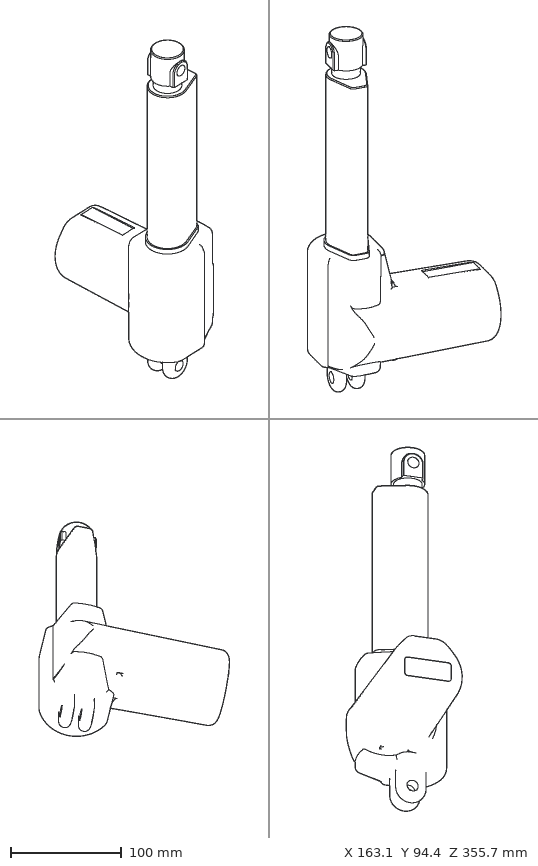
import cadquery as cq
import math


overall_height = 355.66
lug_radius = 14.1
top_z = overall_height - lug_radius
head_height = 30.5
head_bottom_z = top_z - head_height
rod_exposed_length = 9.5
tube_top_z = head_bottom_z - rod_exposed_length
housing_top_z = 129.9
housing_bottom_z = 18.0
collar_height = 5.0

rod_radius = 13.0
head_radius = 15.3
head_chamfer = 1.0
pin_hole_diameter = 10.6
head_pin_depth = 16.2
head_pin_z = top_z - head_pin_depth
boss_radius = 9.7
boss_half_span = 16.45
boss_edge_fillet = 1.0

tube_radius = 18.4
tube_back_y = 32.0
tube_back_half_width = 7.8
tube_corner_radius = 4.0
tube_top_chamfer = 1.0
collar_lip = 1.6

housing_nose_radius = 35.2
housing_half_width = 31.6
shoulder_front_y = 15.5
shoulder_half_width = 26.0
shoulder_back_y = 19.5
housing_back_half_width = 14.0
housing_back_y = 47.1
housing_back_edge_y = 45.9
housing_side_radius = 3.0
housing_nose_edge_radius = 9.0
housing_back_radius = 4.0
housing_top_fillet = 7.5
housing_bottom_fillet = 6.5

motor_y = 22.5
motor_z = 58.8
motor_end_x = -130.8
motor_inner_x = 26.0
motor_end_radius = 34.85
motor_crown_height = 38.3
motor_crown_half_width = 14.0
motor_draft = 0.85
motor_end_fillet = 8.5
root_flare = 3.5
root_rim = 0.05
root_plate_thickness = 2.0
socket_back_x = 0.0
socket_bend_x = 13.0
socket_bend_y = 48.0
socket_bend_radius = 12.0
plan_limit_y = 70.0

gusset_top_y = 19.0
gusset_bottom_y = 46.0
gusset_bottom_z = 86.5
gusset_fillet = 4.0

recess_start_x = -121.4
recess_end_x = -68.0
recess_half_width = 8.0
recess_depth = 1.5
plate_half_width = 22.1
plate_half_height = 9.3
plate_thickness = 0.74
plate_corner_radius = 3.0

lug_thickness = 10.6
lug_center_x = 9.1
lug_edge_fillet = 5.0
lug_foot_fillet = 1.2
lug_embed = 5.0


def tangent_angle(radius, corner_half_width, corner_height):
    """Angle, from the half-width axis, where the line from the corner touches the circle."""
    corner_distance = math.hypot(corner_half_width, corner_height)
    return math.atan2(corner_height, corner_half_width) - math.acos(radius / corner_distance)


def teardrop(plane, radius, corner_half_width, corner_height):
    """Circle closed by two tangent lines and a flat crown."""
    angle = tangent_angle(radius, corner_half_width, corner_height)
    side = radius * math.cos(angle)
    height = radius * math.sin(angle)
    return (
        plane.moveTo(-corner_half_width, corner_height)
        .lineTo(corner_half_width, corner_height)
        .lineTo(side, height)
        .threePointArc((0, -radius), (-side, height))
        .close()
    )


def make_rod_and_head():
    rod = cq.Workplane("XY").workplane(offset=tube_top_z).circle(rod_radius).extrude(rod_exposed_length)
    head = (
        cq.Workplane("XY").workplane(offset=head_bottom_z).circle(head_radius).extrude(head_height)
        .faces(">Z").edges().chamfer(head_chamfer)
    )
    boss = (
        cq.Workplane("YZ").workplane(offset=-boss_half_span)
        .moveTo(-boss_radius, head_bottom_z)
        .lineTo(boss_radius, head_bottom_z)
        .lineTo(boss_radius, head_pin_z)
        .threePointArc((0, head_pin_z + boss_radius), (-boss_radius, head_pin_z))
        .close().extrude(2 * boss_half_span)
    )
    boss = boss.faces("<X or >X").edges("not <Z").chamfer(boss_edge_fillet)
    pin_hole = (
        cq.Workplane("YZ").workplane(offset=-boss_half_span)
        .center(0, head_pin_z).circle(pin_hole_diameter / 2).extrude(2 * boss_half_span)
    )
    return rod.union(head).union(boss).cut(pin_hole)


def make_tube():
    tube = teardrop(
        cq.Workplane("XY").workplane(offset=housing_top_z), tube_radius, tube_back_half_width, tube_back_y
    ).extrude(tube_top_z - housing_top_z)
    tube = tube.edges("|Z and >Y").fillet(tube_corner_radius).faces(">Z").edges().chamfer(tube_top_chamfer)
    collar = teardrop(
        cq.Workplane("XY").workplane(offset=housing_top_z),
        tube_radius + collar_lip, tube_back_half_width + collar_lip / 2, tube_back_y + collar_lip,
    ).extrude(collar_height)
    collar = collar.edges("|Z and >Y").fillet(tube_corner_radius + collar_lip)
    return tube.union(collar)


def make_housing():
    nose_y = -math.sqrt(housing_nose_radius ** 2 - housing_half_width ** 2)
    housing = (
        cq.Workplane("XY").workplane(offset=housing_bottom_z)
        .moveTo(-housing_half_width, nose_y)
        .threePointArc((0, -housing_nose_radius), (housing_half_width, nose_y))
        .lineTo(housing_half_width, shoulder_front_y)
        .lineTo(shoulder_half_width, shoulder_back_y)
        .lineTo(housing_back_half_width, housing_back_edge_y)
        .threePointArc((0, housing_back_y), (-housing_back_half_width, housing_back_edge_y))
        .lineTo(-shoulder_half_width, shoulder_back_y)
        .lineTo(-housing_half_width, shoulder_front_y)
        .close().extrude(housing_top_z - housing_bottom_z)
    )
    housing = housing.faces(">Y").edges("|Z").fillet(housing_back_radius)
    side_edges = housing.faces("<X or >X").edges("|Z")
    housing = side_edges.edges("<Y").fillet(housing_nose_edge_radius)
    housing = housing.faces("<X or >X").edges("|Z").edges(">Y").fillet(housing_side_radius)
    housing = housing.faces(">Z").edges().fillet(housing_top_fillet)
    return housing.faces("<Z").edges().fillet(housing_bottom_fillet)


def motor_section(x, margin=0.0):
    """Motor outline at a station along X, offset outward by the margin."""
    growth = (x - motor_end_x) * math.tan(math.radians(motor_draft)) + margin
    angle = tangent_angle(motor_end_radius, motor_crown_half_width, motor_crown_height)
    corner_growth = growth * (1 - math.sin(angle)) / math.cos(angle)
    return teardrop(
        cq.Workplane("YZ", origin=(x, motor_y, motor_z)),
        motor_end_radius + growth,
        motor_crown_half_width + corner_growth,
        motor_crown_height + growth,
    )


def make_motor_barrel():
    barrel = motor_section(motor_inner_x).extrude(motor_end_x - motor_inner_x, taper=motor_draft)

    draft = math.radians(motor_draft)
    side_angle = tangent_angle(motor_end_radius, motor_crown_half_width, motor_crown_height)
    curve_start_z = motor_end_radius * math.sin(side_angle)
    curve_radius = (motor_crown_height - curve_start_z) / (1 / math.cos(draft) - math.tan(draft))
    curve_end_x = motor_end_x + curve_radius * (1 - math.sin(draft))
    curve_end_z = curve_start_z + curve_radius * math.cos(draft)
    keep = (
        cq.Workplane("XZ", origin=(0, plan_limit_y, motor_z))
        .moveTo(motor_end_x, -plan_limit_y)
        .lineTo(motor_end_x, curve_start_z)
        .radiusArc((curve_end_x, curve_end_z), curve_radius)
        .lineTo(curve_end_x, plan_limit_y)
        .lineTo(motor_inner_x, plan_limit_y)
        .lineTo(motor_inner_x, -plan_limit_y)
        .close().extrude(2 * plan_limit_y)
    )
    barrel = barrel.intersect(keep)

    end_rim = barrel.faces("<X").edges("not >Z")
    curved_crown = barrel.edges("%ELLIPSE")
    barrel = barrel.newObject(end_rim.vals() + curved_crown.vals()).fillet(motor_end_fillet)
    return barrel


def make_motor_root(barrel):
    """Flare that joins the barrel to the side of the housing, on a plate sunk in the housing."""
    face_x = -housing_half_width
    plate = motor_section(face_x, root_flare + root_rim).extrude(root_plate_thickness)
    flared = barrel.union(plate.edges("|X and >Z").fillet(motor_end_fillet))
    plate_face = flared.faces(cq.selectors.BoxSelector(
        (face_x - root_rim, -plan_limit_y, 0),
        (face_x + root_rim, plan_limit_y, housing_top_z),
        boundingbox=True,
    )).val()
    flared = flared.newObject(plate_face.innerWires()[0].Edges()).fillet(root_flare)

    root_reach = housing_half_width + 2 * root_flare
    reach_y = motor_y + motor_crown_half_width
    keep = cq.Workplane("XY").box(root_reach, plan_limit_y, housing_top_z, centered=False).translate(
        (-root_reach, reach_y - plan_limit_y, housing_bottom_z + housing_bottom_fillet)
    )
    return flared.intersect(keep)


def make_motor():
    """Barrel cut off behind the housing by the sloping end of the motor socket, with its root."""
    socket_back_y = motor_y + motor_end_radius - motor_end_x * math.tan(math.radians(motor_draft))
    plan = (
        cq.Workplane("XY")
        .moveTo(motor_end_x, socket_back_y)
        .lineTo(socket_back_x, socket_back_y)
        .lineTo(socket_bend_x, socket_bend_y)
        .lineTo(shoulder_half_width, shoulder_back_y)
        .lineTo(shoulder_half_width, -plan_limit_y)
        .lineTo(motor_end_x, -plan_limit_y)
        .close().extrude(housing_top_z)
    )
    for corner in ((socket_bend_x, socket_bend_y, motor_z), (socket_back_x, socket_back_y, motor_z)):
        plan = plan.edges(cq.selectors.NearestToPointSelector(corner)).fillet(socket_bend_radius)
    barrel = make_motor_barrel()
    return barrel.intersect(plan).union(make_motor_root(barrel))


def make_gusset():
    gusset = (
        cq.Workplane("YZ").workplane(offset=-housing_half_width)
        .moveTo(0, housing_top_z - housing_top_fillet)
        .lineTo(gusset_top_y, housing_top_z - housing_top_fillet)
        .lineTo(gusset_bottom_y, gusset_bottom_z)
        .lineTo(gusset_bottom_y, motor_z)
        .lineTo(0, motor_z)
        .close().extrude(housing_half_width)
    )
    slope_middle = (
        -housing_half_width,
        (gusset_top_y + gusset_bottom_y) / 2,
        (housing_top_z - housing_top_fillet + gusset_bottom_z) / 2,
    )
    return gusset.edges(cq.selectors.NearestToPointSelector(slope_middle)).fillet(gusset_fillet)


def make_lug(center_x):
    lug_top_z = housing_bottom_z + lug_embed
    lug = (
        cq.Workplane("YZ").workplane(offset=center_x - lug_thickness / 2)
        .moveTo(-lug_radius, lug_top_z)
        .lineTo(-lug_radius, 0)
        .threePointArc((0, -lug_radius), (lug_radius, 0))
        .lineTo(lug_radius, lug_top_z)
        .close().extrude(lug_thickness)
    )
    lug = lug.faces("<X or >X").edges("not >Z").fillet(lug_edge_fillet)
    hole = (
        cq.Workplane("YZ").workplane(offset=center_x - lug_thickness / 2)
        .circle(pin_hole_diameter / 2).extrude(lug_thickness)
    )
    return lug.cut(hole)


def round_lug_feet(body):
    feet = cq.selectors.BoxSelector(
        (-lug_center_x - lug_thickness, -lug_radius - lug_foot_fillet, housing_bottom_z - lug_foot_fillet),
        (lug_center_x + lug_thickness, lug_radius + lug_foot_fillet, housing_bottom_z + lug_foot_fillet),
        boundingbox=True,
    )
    return body.edges(feet).fillet(lug_foot_fillet)


def add_labels(body):
    crown_growth = (recess_end_x - motor_end_x) * math.tan(math.radians(motor_draft))
    recess_floor_z = motor_z + motor_crown_height + crown_growth - recess_depth
    recess = cq.Workplane("XY").box(
        recess_end_x - recess_start_x, 2 * recess_half_width, motor_end_radius, centered=(False, True, False)
    ).translate((recess_start_x, motor_y, recess_floor_z))
    plate = (
        cq.Workplane("YZ", origin=(motor_end_x - plate_thickness, motor_y, motor_z))
        .rect(2 * plate_half_width, 2 * plate_half_height).extrude(2 * plate_thickness)
        .edges("|X").fillet(plate_corner_radius)
    )
    return body.cut(recess).union(plate)


body = make_housing().union(make_gusset()).union(make_motor())
body = add_labels(body)
for lug_x in (-lug_center_x, lug_center_x):
    body = body.union(make_lug(lug_x))
body = round_lug_feet(body)
result = body.union(make_tube()).union(make_rod_and_head())